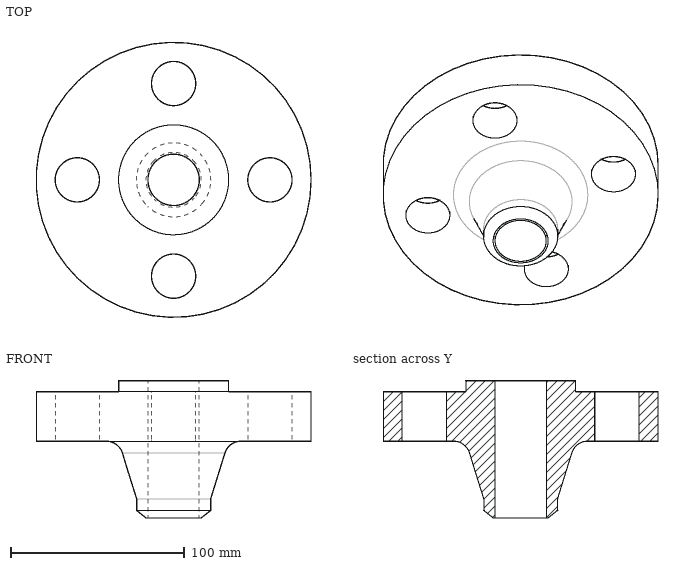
import cadquery as cq

total_height = 79.4
flange_diameter = 158.8
flange_thickness = 28.7
face_diameter = 63.5
face_height = 6.4
bore_diameter = 29.5

neck_end_diameter = 42.9
bevel_end_diameter = 31.8
bevel_height = 4.5
neck_end_height = 6.7
cone_top_diameter = 63.5
neck_fillet_radius = 9.5

bolt_count = 4
bolt_hole_diameter = 25.4
bolt_circle_diameter = 111.1

flange_top = total_height - face_height
flange_bottom = flange_top - flange_thickness
cone_bottom = bevel_height + neck_end_height


def make_body():
    """Revolve the solid half profile, then round the neck into the flange."""
    profile = (
        cq.Workplane("XZ")
        .lineTo(bevel_end_diameter / 2, 0)
        .lineTo(neck_end_diameter / 2, bevel_height)
        .lineTo(neck_end_diameter / 2, cone_bottom)
        .lineTo(cone_top_diameter / 2, flange_bottom)
        .lineTo(flange_diameter / 2, flange_bottom)
        .lineTo(flange_diameter / 2, flange_top)
        .lineTo(face_diameter / 2, flange_top)
        .lineTo(face_diameter / 2, total_height)
        .lineTo(0, total_height)
        .close()
    )
    body = profile.revolve(360, (0, 0, 0), (0, 1, 0))
    margin = 1.6
    reach = cone_top_diameter / 2 + margin
    around_junction = cq.selectors.BoxSelector(
        (-reach, -reach, flange_bottom - margin),
        (reach, reach, flange_bottom + margin),
        boundingbox=True,
    )
    junction = body.edges(around_junction)
    return junction.fillet(neck_fillet_radius)


def make_holes():
    """Central bore and the ring of bolt holes, all passing right through."""
    bore = cq.Workplane("XY").circle(bore_diameter / 2).extrude(total_height)
    bolt_holes = (
        cq.Workplane("XY")
        .polarArray(bolt_circle_diameter / 2, 0, 360, bolt_count)
        .circle(bolt_hole_diameter / 2)
        .extrude(total_height)
    )
    return bore.union(bolt_holes)


result = make_body().cut(make_holes())